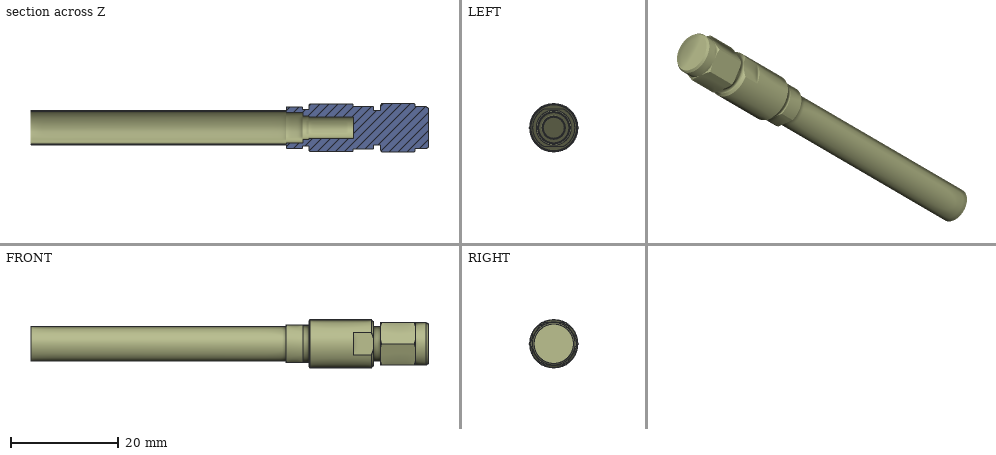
import cadquery as cq
import math

length = 74.1
collar_start = 47.55
collar_end = 50.7
body_start = 51.8
body_end = 63.85
body_flat_start = 60.1
nut_start = 65.1
nut_end = 71.6

tube_diameter = 6.5
wrench_size = 7.9
collar_diameter = 7.85
collar_flats = 7.0
rear_neck_diameter = 6.95
body_diameter = 8.95
front_neck_diameter = 6.5
nose_diameter = wrench_size

body_rear_chamfer = 0.2
body_front_chamfer = 0.45
nose_chamfer_length = 0.45
nose_chamfer_depth = 0.3
nut_chamfer_length = 0.2
nut_face_diameter = 8.45

bore_steps = [
    (collar_start, 6.0),
    (collar_end, 5.6),
    (body_start, 4.3),
    (body_flat_start, 3.9),
]


def cylinder(start, end, diameter):
    """Round length centred on the X axis."""
    return cq.Workplane("YZ", origin=(start, 0, 0)).circle(diameter / 2).extrude(end - start)


def slab(start, end, width_y, width_z):
    """Rectangular length centred on the X axis, used to cut flats."""
    return cq.Workplane("YZ", origin=(start, 0, 0)).rect(width_y, width_z).extrude(end - start)


def make_collar():
    """Collar with two flats facing up and down."""
    collar = cylinder(collar_start, collar_end, collar_diameter)
    return collar.intersect(slab(collar_start, collar_end, collar_diameter, collar_flats))


def make_body():
    """Main sleeve with chamfered ends and two side flats at the front."""
    body = cylinder(body_start, body_end, body_diameter)
    body = body.faces("<X").chamfer(body_rear_chamfer)
    body = body.faces(">X").chamfer(body_front_chamfer)
    rear = slab(body_start, body_flat_start, body_diameter, body_diameter)
    front = slab(body_flat_start, body_end, wrench_size, body_diameter)
    return body.intersect(rear.union(front))


def make_nut():
    """Hexagon nut with corners along Y and both ends turned to a cone."""
    corner_radius = wrench_size / math.sqrt(3)
    hexagon = cq.Workplane("YZ", origin=(nut_start, 0, 0))
    hexagon = hexagon.polygon(6, 2 * corner_radius).extrude(nut_end - nut_start)
    envelope = (
        cq.Workplane("XY")
        .moveTo(nut_start, 0)
        .lineTo(nut_start, nut_face_diameter / 2)
        .lineTo(nut_start + nut_chamfer_length, corner_radius)
        .lineTo(nut_end - nut_chamfer_length, corner_radius)
        .lineTo(nut_end, nut_face_diameter / 2)
        .lineTo(nut_end, 0)
        .close()
        .revolve(360, (0, 0, 0), (1, 0, 0))
    )
    return hexagon.intersect(envelope)


def make_nose():
    """Round nose in front of the nut, tapered at its tip."""
    nose = cylinder(nut_end, length - nose_chamfer_length, nose_diameter)
    tip = (
        cq.Workplane("YZ", origin=(length - nose_chamfer_length, 0, 0))
        .circle(nose_diameter / 2)
        .workplane(offset=nose_chamfer_length)
        .circle(nose_diameter / 2 - nose_chamfer_depth)
        .loft(ruled=True)
    )
    return nose.union(tip)


result = (
    cylinder(0, collar_start, tube_diameter)
    .union(make_collar())
    .union(cylinder(collar_end, body_start, rear_neck_diameter))
    .union(make_body())
    .union(cylinder(body_end, nut_start, front_neck_diameter))
    .union(make_nut())
    .union(make_nose())
)

bore_start = 0
for bore_end, bore_diameter in bore_steps:
    result = result.cut(cylinder(bore_start, bore_end, bore_diameter))
    bore_start = bore_end